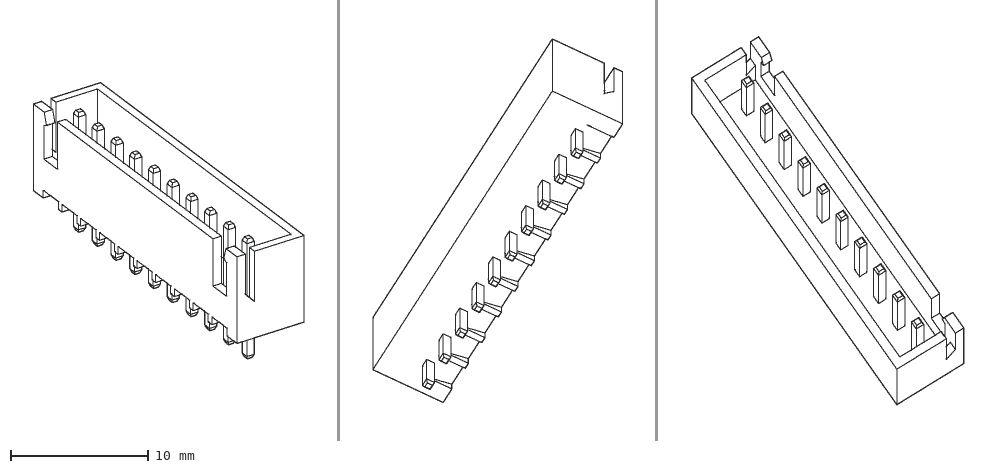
import cadquery as cq

length = 27.17
depth = 5.85
height = 7.23
end_wall = 0.68
back_wall = 0.7
front_wall = 0.73
floor_thickness = 0.98

pin_count = 10
pin_pitch = 2.5
pin_width = 0.65
pin_tip_width = 0.4
pin_tip_height = 0.3
pin_length_below = 3.0
pin_gap_below_rim = 0.22
pin_from_front = 2.5

notch_width = 2.0
notch_height = 0.65
notch_depth = 2.23

window_from_end = 1.4
window_width = 1.8
window_depth = 3.95

hook_top_overhang = 0.05
hook_overhang = 0.35
hook_tip_depth = 0.98
hook_bottom_depth = 1.15

end_slot_width = 0.8
end_slot_front_depth = 3.31
end_slot_back_depth = 4.18

end_x = length / 2
front_y = -depth / 2
front_inner_y = front_y + front_wall
pin_y = front_y + pin_from_front
pin_positions = [(i - (pin_count - 1) / 2) * pin_pitch for i in range(pin_count)]


def make_housing():
    outer = cq.Workplane("XY").box(length, depth, height, centered=(True, True, False))
    cavity = (
        cq.Workplane("XY")
        .box(length - 2 * end_wall, depth - front_wall - back_wall, height, centered=(True, False, False))
        .translate((0, front_inner_y, floor_thickness))
    )
    return outer.cut(cavity)


def make_left_window():
    """Cutter for the left window; its outer edge follows the hook."""
    outer_x = -end_x + window_from_end
    inner_x = outer_x + window_width
    bottom_z = height - window_depth
    return (
        cq.Workplane("XZ", origin=(0, front_y, 0))
        .moveTo(outer_x, bottom_z)
        .lineTo(inner_x, bottom_z)
        .lineTo(inner_x, height)
        .lineTo(outer_x + hook_top_overhang, height)
        .lineTo(outer_x + hook_overhang, height - hook_tip_depth)
        .lineTo(outer_x, height - hook_bottom_depth)
        .close()
        .extrude(-front_wall)
    )


def make_end_slots():
    """Cutter running the full length, so it opens the slot in both end walls."""
    back_y = front_inner_y + end_slot_width
    return (
        cq.Workplane("YZ", origin=(-end_x, 0, 0))
        .moveTo(front_inner_y, height)
        .lineTo(front_inner_y, height - end_slot_front_depth)
        .lineTo(back_y, height - end_slot_back_depth)
        .lineTo(back_y, height)
        .close()
        .extrude(length)
    )


def make_notch(x):
    return (
        cq.Workplane("YZ", origin=(x - notch_width / 2, 0, 0))
        .moveTo(front_y, 0)
        .lineTo(front_y, notch_height)
        .lineTo(front_y + notch_depth, 0)
        .close()
        .extrude(notch_width)
    )


def make_pin(x):
    shank_bottom = pin_tip_height - pin_length_below
    shank_top = height - pin_gap_below_rim - pin_tip_height
    shank = (
        cq.Workplane("XY", origin=(x, pin_y, shank_bottom))
        .rect(pin_width, pin_width)
        .extrude(shank_top - shank_bottom)
    )

    def make_tip(base_z, end_z):
        return (
            cq.Workplane("XY", origin=(x, pin_y, base_z))
            .rect(pin_width, pin_width)
            .workplane(offset=end_z - base_z)
            .rect(pin_tip_width, pin_tip_width)
            .loft(ruled=True)
        )

    upper_tip = make_tip(shank_top, shank_top + pin_tip_height)
    lower_tip = make_tip(shank_bottom, -pin_length_below)
    return shank.union(upper_tip).union(lower_tip)


left_window = make_left_window()
result = make_housing().cut(left_window).cut(left_window.mirror("YZ")).cut(make_end_slots())
for pin_x in pin_positions:
    result = result.cut(make_notch(pin_x))
for pin_x in pin_positions:
    result = result.union(make_pin(pin_x))